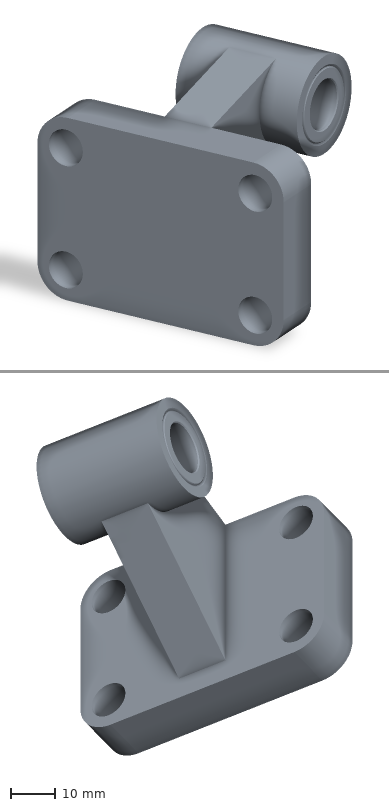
import cadquery as cq

plate_width = 65.0
plate_height = 45.0
plate_thickness = 12.0
corner_radius = 8.0
hole_diameter = 9.0
hole_spacing_x = 50.0
hole_spacing_z = 30.0

barrel_diameter = 24.0
barrel_length = 32.0
barrel_radius = barrel_diameter / 2
total_depth = 57.0
total_height = 52.5
axis_y = total_depth - barrel_radius
axis_z = total_height - barrel_radius

bushing_diameter = 18.0
bore_diameter = 12.0
barrel_chamfer = 0.5
bushing_chamfer = 0.3
bore_chamfer = 0.25

web_thickness = 12.35
web_foot_z = 5.5
web_tip_setback = 4.7


def make_plate():
    blank = (
        cq.Workplane("XY")
        .box(plate_width, plate_thickness, plate_height, centered=(True, False, False))
        .edges("|Y")
        .fillet(corner_radius)
    )
    holes = (
        cq.Workplane("XZ", origin=(0, 0, plate_height / 2))
        .rect(hole_spacing_x, hole_spacing_z, forConstruction=True)
        .vertices()
        .circle(hole_diameter / 2)
        .extrude(-plate_thickness)
    )
    return blank.cut(holes)


def make_web():
    tip_rise = (barrel_radius**2 - web_tip_setback**2) ** 0.5
    return (
        cq.Workplane("YZ")
        .moveTo(plate_thickness, web_foot_z)
        .lineTo(plate_thickness, plate_height)
        .lineTo(axis_y - web_tip_setback, axis_z + tip_rise)
        .lineTo(axis_y, axis_z)
        .lineTo(axis_y, axis_z - barrel_radius)
        .close()
        .extrude(web_thickness / 2, both=True)
    )


def axis_cylinder(diameter):
    return (
        cq.Workplane("YZ", origin=(-barrel_length / 2, axis_y, axis_z))
        .circle(diameter / 2)
        .extrude(barrel_length)
    )


def cut_bore(body):
    """Cut the through bore with a small chamfer at each mouth."""
    bore_radius = bore_diameter / 2
    mouth_radius = bore_radius + bore_chamfer
    half_length = barrel_length / 2
    straight_half = half_length - bore_chamfer
    bore = (
        cq.Workplane("XY", origin=(0, axis_y, axis_z))
        .moveTo(-half_length, 0)
        .lineTo(-half_length, mouth_radius)
        .lineTo(-straight_half, bore_radius)
        .lineTo(straight_half, bore_radius)
        .lineTo(half_length, mouth_radius)
        .lineTo(half_length, 0)
        .close()
        .revolve(360, (0, 0, 0), (1, 0, 0))
    )
    return body.cut(bore)


def make_joint_groove(side):
    """Chamfer groove around the bushing at one barrel end (side is -1 or 1)."""
    end_x = side * barrel_length / 2
    joint_radius = bushing_diameter / 2
    return (
        cq.Workplane("XY", origin=(0, axis_y, axis_z))
        .moveTo(end_x, joint_radius - bushing_chamfer)
        .lineTo(end_x, joint_radius + barrel_chamfer)
        .lineTo(end_x - side * bushing_chamfer, joint_radius)
        .close()
        .revolve(360, (0, 0, 0), (1, 0, 0))
    )


result = cut_bore(make_plate().union(make_web()).union(axis_cylinder(barrel_diameter)))
for end_side in (-1, 1):
    result = result.cut(make_joint_groove(end_side))